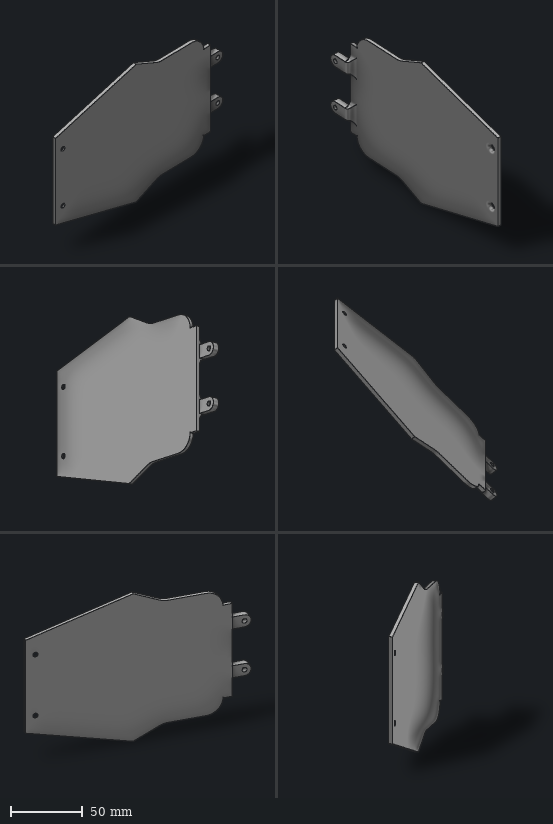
import cadquery as cq
import math

overall_length = 167.0
overall_width = 121.0
plate_thickness = 3.0
lug_thickness = 5.0

tip_y = overall_length / 2
free_end_y = -overall_length / 2

lug_reach = 15.0
hinge_edge_y = tip_y - lug_reach
tongue_length = 6.7
shoulder_y = hinge_edge_y - tongue_length
shoulder_radius = 12.5
end_half_width = 38.1
body_half_width = 50.1
widest_half_width = overall_width / 2
widest_y = tip_y - 87.9
flare_start_y = tip_y - 65.5
flare_blend_radius = 15.0

lug_width = 10.0
lug_spacing = 40.0
lug_hole_diameter = 3.5
root_fillet_radius = lug_thickness
crest_radius = 2.5
root_length = crest_radius + root_fillet_radius

screw_hole_diameter = 3.5
screw_hole_spacing = 50.0
screw_hole_edge_distance = 7.4


def make_plate():
    """Flap plate with rounded shoulders, occupying X from 0 to plate_thickness."""
    flare_rise = widest_half_width - body_half_width
    flare_run = flare_start_y - widest_y
    flare_angle = math.atan2(flare_rise, flare_run)
    blend_setback = flare_blend_radius * math.tan(flare_angle / 2)
    blend_start_y = flare_start_y + blend_setback
    blend_end_y = flare_start_y - blend_setback * math.cos(flare_angle)
    blend_end_z = body_half_width + blend_setback * math.sin(flare_angle)
    blend_mid_y = blend_start_y - flare_blend_radius * math.sin(flare_angle / 2)
    blend_mid_z = body_half_width + flare_blend_radius * (1 - math.cos(flare_angle / 2))

    arc_mid_offset = shoulder_radius * (1 - math.sqrt(0.5))
    shoulder_mid = (shoulder_y - arc_mid_offset, body_half_width - arc_mid_offset)
    shoulder_end = (shoulder_y - shoulder_radius, body_half_width)

    half = (
        cq.Workplane("YZ")
        .moveTo(free_end_y, 0)
        .lineTo(hinge_edge_y, 0)
        .lineTo(hinge_edge_y, end_half_width)
        .lineTo(shoulder_y, end_half_width)
        .lineTo(shoulder_y, body_half_width - shoulder_radius)
        .threePointArc(shoulder_mid, shoulder_end)
        .lineTo(blend_start_y, body_half_width)
        .threePointArc((blend_mid_y, blend_mid_z), (blend_end_y, blend_end_z))
        .lineTo(widest_y, widest_half_width)
        .lineTo(free_end_y, end_half_width)
        .close()
        .extrude(plate_thickness)
    )
    return half.union(half.mirror("XY"))


def make_lug_tongue():
    """Round-ended hinge tongue, centred on Z = 0, beyond the hinge edge."""
    end_radius = lug_width / 2
    hole_y = tip_y - end_radius
    return (
        cq.Workplane("YZ")
        .moveTo(hinge_edge_y, -end_radius)
        .lineTo(hole_y, -end_radius)
        .threePointArc((tip_y, 0), (hole_y, end_radius))
        .lineTo(hinge_edge_y, end_radius)
        .close()
        .moveTo(hole_y, 0)
        .circle(lug_hole_diameter / 2)
        .extrude(-lug_thickness)
    )


def make_lug_root():
    """Blended foot on the plate: a lengthwise S-curve crossed with two concave side fillets."""
    root_half_width = lug_width / 2 + root_fillet_radius
    root_end_y = hinge_edge_y - root_length

    radius_sum = crest_radius + root_fillet_radius
    turn = math.acos(1 - lug_thickness / radius_sum)
    crest_start_y = root_end_y + radius_sum * math.sin(turn)

    def on_crest(angle):
        return (
            -lug_thickness + crest_radius * (1 - math.cos(angle)),
            crest_start_y - crest_radius * math.sin(angle),
        )

    def on_root(angle):
        return (
            -root_fillet_radius * (1 - math.cos(angle)),
            root_end_y + root_fillet_radius * math.sin(angle),
        )

    lengthwise = (
        cq.Workplane("XY")
        .moveTo(0, root_end_y)
        .lineTo(0, hinge_edge_y)
        .lineTo(-lug_thickness, hinge_edge_y)
        .lineTo(-lug_thickness, crest_start_y)
        .threePointArc(on_crest(turn / 2), on_crest(turn))
        .threePointArc(on_root(turn / 2), (0, root_end_y))
        .close()
        .extrude(root_half_width, both=True)
    )

    fillet_mid = root_fillet_radius * (1 - math.sqrt(0.5))
    crosswise = (
        cq.Workplane("XZ", origin=(0, hinge_edge_y, 0))
        .moveTo(0, -root_half_width)
        .threePointArc((-fillet_mid, -lug_width / 2 - fillet_mid), (-lug_thickness, -lug_width / 2))
        .lineTo(-lug_thickness, lug_width / 2)
        .threePointArc((-fillet_mid, lug_width / 2 + fillet_mid), (0, root_half_width))
        .close()
        .extrude(root_length)
    )
    return lengthwise.intersect(crosswise)


def make_screw_hole_cutter():
    """Screw hole on Z = 0 whose mouth on the lug side flares out through the full thickness."""
    hole_radius = screw_hole_diameter / 2
    flare_radius = plate_thickness
    flare_mid = flare_radius * (1 - math.sqrt(0.5))
    return (
        cq.Workplane("XY")
        .moveTo(0, 0)
        .lineTo(0, hole_radius + flare_radius)
        .threePointArc((flare_mid, hole_radius + flare_mid), (plate_thickness, hole_radius))
        .lineTo(plate_thickness, 0)
        .close()
        .revolve(360, (0, 0, 0), (1, 0, 0))
        .translate((0, free_end_y + screw_hole_edge_distance, 0))
    )


lug = make_lug_tongue().union(make_lug_root())
screw_hole = make_screw_hole_cutter()

result = make_plate()
for side in (-1, 1):
    result = result.union(lug.translate((0, 0, side * lug_spacing / 2)))
    result = result.cut(screw_hole.translate((0, 0, side * screw_hole_spacing / 2)))